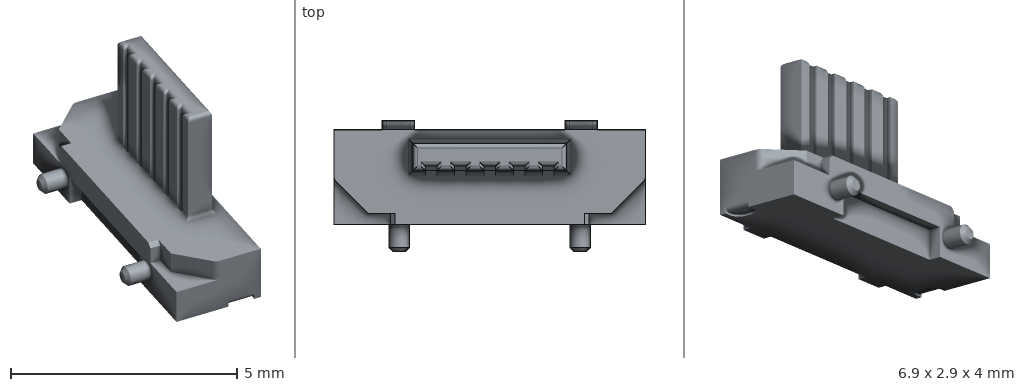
import cadquery as cq

BODY_WIDTH = 6.9
BODY_DEPTH = 2.1
BODY_HEIGHT = 1.305
EDGE_ROUND = 0.1

LEDGE_HEIGHT = 0.81
LEDGE_DEPTH = 0.25
LEDGE_INNER_X = 2.195
LEDGE_SLANT = 0.75
LEDGE_ROUND = 0.2
STEP_CHAMFER = 0.1

TONGUE_WIDTH = 3.395
TONGUE_DEPTH = 0.6
TONGUE_BACK_GAP = 0.305
TOTAL_HEIGHT = 4.0
GROOVE_COUNT = 5
GROOVE_PITCH = 0.65
GROOVE_WIDTH = 0.255
GROOVE_DEPTH = 0.1
GROOVE_SINK = 0.2

RECESS_HEIGHT = 0.705
RECESS_DEPTH = 0.3

PIN_SPACING = 4.0
PIN_RADIUS = 0.23
PIN_LENGTH = 0.6
PIN_HEIGHT = 0.505
PIN_CHAMFER = 0.1

TAB_SPACING = 4.04
TAB_WIDTH = 0.72
TAB_HEIGHT = 0.505
TAB_LENGTH = 0.2

NOTCH_BACK_GAP = 0.16
NOTCH_LENGTH = 0.65
NOTCH_CEILING = 0.05
NOTCH_DEPTH = 0.4
NOTCH_CORNER_ROUND = 0.25

end_x = BODY_WIDTH / 2
slant_end_y = LEDGE_DEPTH + LEDGE_SLANT
tongue_height = TOTAL_HEIGHT - BODY_HEIGHT
tongue_back_y = BODY_DEPTH - TONGUE_BACK_GAP
tongue_front_y = tongue_back_y - TONGUE_DEPTH


def box(x_size, y_size, z_size, x_center, y_front, z_bottom):
    """Box centred in X, growing back from y_front and up from z_bottom."""
    block = cq.Workplane("XY").box(x_size, y_size, z_size, centered=(True, False, False))
    return block.translate((x_center, y_front, z_bottom))


def both_ends(right_half):
    """Right-hand feature together with its mirror image on the left."""
    return right_half.union(right_half.mirror("YZ"))


def make_ledge_cutter():
    """Corner cutter: a square step, then a 45 degree slant out to the end face."""
    cut_height = BODY_HEIGHT - LEDGE_HEIGHT
    corner = (
        cq.Workplane("XY")
        .workplane(offset=LEDGE_HEIGHT)
        .moveTo(LEDGE_INNER_X, 0)
        .lineTo(LEDGE_INNER_X, LEDGE_DEPTH)
        .lineTo(end_x - LEDGE_SLANT, LEDGE_DEPTH)
        .lineTo(end_x, slant_end_y)
        .lineTo(end_x, 0)
        .close()
        .extrude(cut_height)
    )
    return both_ends(corner)


def make_body():
    """Block with ledged corners, rounded slant ends and chamfered step edges."""
    body = box(BODY_WIDTH, BODY_DEPTH, BODY_HEIGHT, 0, 0, 0).cut(make_ledge_cutter())
    for side in (-1, 1):
        slant_corner = (side * end_x, slant_end_y, BODY_HEIGHT)
        body = body.edges("|Z").edges(cq.NearestToPointSelector(slant_corner)).fillet(LEDGE_ROUND)
        step_corner = (side * LEDGE_INNER_X, LEDGE_DEPTH / 2, BODY_HEIGHT)
        body = body.edges(cq.NearestToPointSelector(step_corner)).chamfer(STEP_CHAMFER)
    return body


def add_tongue(body):
    """Tongue with a filleted foot, front grooves sunk into the body and a rounded top rim."""
    tongue = box(TONGUE_WIDTH, TONGUE_DEPTH, tongue_height, 0, tongue_front_y, BODY_HEIGHT)
    part = body.union(tongue)
    foot = cq.selectors.BoxSelector(
        (-TONGUE_WIDTH / 2 - EDGE_ROUND, tongue_front_y - EDGE_ROUND, BODY_HEIGHT - EDGE_ROUND),
        (TONGUE_WIDTH / 2 + EDGE_ROUND, tongue_back_y + EDGE_ROUND, BODY_HEIGHT + EDGE_ROUND),
    )
    part = part.edges(foot).fillet(EDGE_ROUND)
    foot_front_y = tongue_front_y - EDGE_ROUND
    sunk_bottom_z = BODY_HEIGHT - GROOVE_SINK
    for index in range(GROOVE_COUNT):
        groove_x = (index - (GROOVE_COUNT - 1) / 2) * GROOVE_PITCH
        foot_gap = box(GROOVE_WIDTH, EDGE_ROUND, tongue_height, groove_x, foot_front_y, BODY_HEIGHT)
        groove = box(
            GROOVE_WIDTH, GROOVE_DEPTH, tongue_height + GROOVE_SINK, groove_x, tongue_front_y, sunk_bottom_z
        )
        part = part.cut(foot_gap).cut(groove)
    return part.faces(">Z").edges().fillet(EDGE_ROUND)


def make_recess():
    return box(TONGUE_WIDTH, RECESS_DEPTH, RECESS_HEIGHT, 0, 0, 0)


def make_pins():
    pin = (
        cq.Workplane("XZ")
        .center(PIN_SPACING / 2, PIN_HEIGHT)
        .circle(PIN_RADIUS)
        .extrude(PIN_LENGTH)
        .faces("<Y")
        .chamfer(PIN_CHAMFER)
    )
    return both_ends(pin)


def make_tabs():
    tab = box(TAB_WIDTH, TAB_LENGTH, TAB_HEIGHT, TAB_SPACING / 2, BODY_DEPTH, 0)
    return both_ends(tab.edges("|Y and >Z").fillet(EDGE_ROUND))


def make_notches():
    """Notches with a rounded-over lip and rounded inner corners."""
    inner_x = end_x - NOTCH_DEPTH
    notch_y = BODY_DEPTH - NOTCH_BACK_GAP - NOTCH_LENGTH
    notch = (
        cq.Workplane("XZ", origin=(0, notch_y, 0))
        .moveTo(inner_x, 0)
        .lineTo(inner_x, NOTCH_CEILING)
        .lineTo(end_x - EDGE_ROUND, NOTCH_CEILING)
        .radiusArc((end_x, NOTCH_CEILING + EDGE_ROUND), -EDGE_ROUND)
        .lineTo(end_x, 0)
        .close()
        .extrude(-NOTCH_LENGTH)
    )
    return both_ends(notch.edges("|Z and <X").fillet(NOTCH_CORNER_ROUND))


part = add_tongue(make_body())
part = part.cut(make_recess()).cut(make_notches())
result = part.union(make_pins()).union(make_tabs())